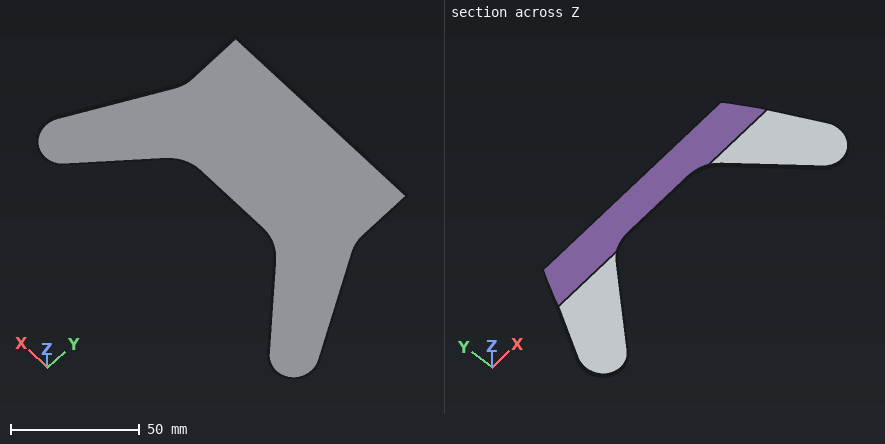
import cadquery as cq
import math

overall_width = 150.6
plate_length = 87.3
plate_thickness = 2.0
tilt_angle = 7.0

body_width = 96.7
body_depth = 49.1
shoulder_depth = 27.9
crotch_half_width = 25.5
tip_radius = 10.2
shoulder_radius = 15.0
crotch_radius = 18.0
rim_break = 0.3

body_half_width = body_width / 2
tip_x = overall_width / 2 - tip_radius
tip_y = tip_radius - plate_length


def tangent_point(corner, side):
    """Point where a line from the corner touches the tip circle; side (+1 or -1) picks the line."""
    dx = corner[0] - tip_x
    dy = corner[1] - tip_y
    angle = math.atan2(dy, dx) + side * math.acos(tip_radius / math.hypot(dx, dy))
    return (tip_x + tip_radius * math.cos(angle), tip_y + tip_radius * math.sin(angle))


def mirrored(point):
    return (-point[0], point[1])


back_corner = (body_half_width, 0)
shoulder = (body_half_width, -shoulder_depth)
crotch = (crotch_half_width, -body_depth)
outer_tangent = tangent_point(shoulder, -1)
inner_tangent = tangent_point(crotch, 1)
tip_end = (tip_x, tip_y - tip_radius)

plate_plane = cq.Workplane("XY").transformed(rotate=(tilt_angle, 0, 0))
plate = (
    plate_plane
    .moveTo(*mirrored(back_corner))
    .lineTo(*back_corner)
    .lineTo(*shoulder)
    .lineTo(*outer_tangent)
    .threePointArc(tip_end, inner_tangent)
    .lineTo(*crotch)
    .lineTo(*mirrored(crotch))
    .lineTo(*mirrored(inner_tangent))
    .threePointArc(mirrored(tip_end), mirrored(outer_tangent))
    .lineTo(*mirrored(shoulder))
    .close()
    .extrude(plate_thickness)
)


def round_corners(body, corner, radius):
    """Round the plate's through-thickness edges at a corner and at its mirror image."""
    for x, y in (corner, mirrored(corner)):
        middle = plate_plane.plane.toWorldCoords((x, y, plate_thickness / 2))
        body = body.edges(cq.selectors.NearestToPointSelector(middle.toTuple())).fillet(radius)
    return body


plate = round_corners(plate, shoulder, shoulder_radius)
plate = round_corners(plate, crotch, crotch_radius)

top_direction = plate_plane.plane.zDir
large_faces = cq.selectors.ParallelDirSelector(top_direction)
result = plate.faces(large_faces).chamfer(rim_break)